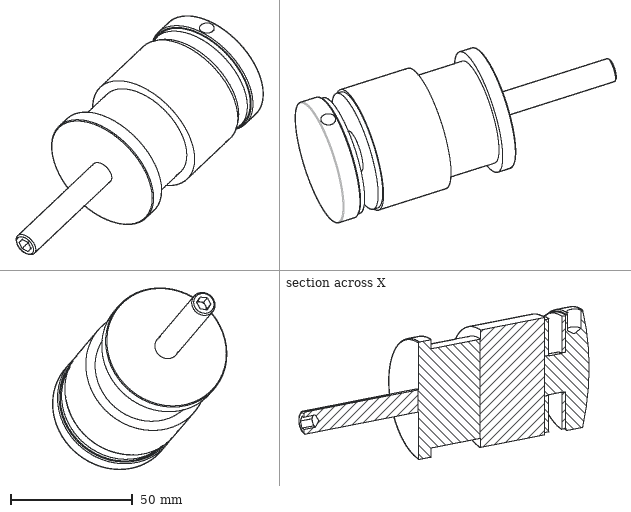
import cadquery as cq
import math


body_dia = 52.0
gasket_dia = 50.0
neck_dia = 17.3
sleeve_dia = 44.0
stud_dia = 10.0

stud_len = 53.5
flange_thick = 6.0
sleeve_len = 23.0
barrel_len = 30.0
gasket_thick = 2.0
gasket_gap = 6.0
cap_rim_len = 7.9
dome_height = 3.1

stud_chamfer = 0.7
flange_chamfer = 0.4
cap_chamfer = 0.5
cap_fillet = 0.4

hex_across_flats = 5.2
socket_depth = 5.3

rim_hole_dia = 6.0
rim_hole_depth = 8.0
rim_hole_from_rim_back = 4.0

drill_point_angle = 118.0

stud_end_y = -66.7
flange_y = stud_end_y + stud_len
sleeve_y = flange_y + flange_thick
barrel_y = sleeve_y + sleeve_len
barrel_gasket_y = barrel_y + barrel_len
gap_y = barrel_gasket_y + gasket_thick
cap_gasket_y = gap_y + gasket_gap
cap_y = cap_gasket_y + gasket_thick
rim_end_y = cap_y + cap_rim_len


def cylinder(dia, y_start, length):
    """Solid cylinder on the Y axis, running from y_start toward +Y."""
    return cq.Workplane("XZ", origin=(0, y_start, 0)).circle(dia / 2).extrude(-length)


def drill_tip(dia, base, direction):
    """Cone left by a drill at the bottom of a hole."""
    height = dia / 2 / math.tan(math.radians(drill_point_angle / 2))
    return cq.Workplane(cq.Solid.makeCone(dia / 2, 0, height, pnt=base, dir=direction))


def make_stud():
    """Set screw with a drilled hex socket in its free end."""
    stud = cylinder(stud_dia, stud_end_y, stud_len).faces("<Y").chamfer(stud_chamfer)
    hex_across_corners = hex_across_flats / math.cos(math.pi / 6)
    socket = (
        cq.Workplane("XZ", origin=(0, stud_end_y, 0))
        .polygon(6, hex_across_corners)
        .extrude(-socket_depth)
    )
    tip = drill_tip(hex_across_flats, cq.Vector(0, stud_end_y + socket_depth, 0), cq.Vector(0, 1, 0))
    return stud.cut(socket).cut(tip)


def make_base():
    """Flange and the narrower sleeve behind it, in one piece."""
    flange = cylinder(body_dia, flange_y, flange_thick).faces("<Y").chamfer(flange_chamfer)
    return flange.union(cylinder(sleeve_dia, sleeve_y, sleeve_len))


def make_barrel():
    """Plain barrel between the base and its gasket."""
    return cylinder(body_dia, barrel_y, barrel_len)


def make_gasket(y_start):
    """Flat ring around the neck of the cap."""
    bore = cylinder(neck_dia, y_start, gasket_thick)
    return cylinder(gasket_dia, y_start, gasket_thick).cut(bore)


def make_cap():
    """Domed cap with a neck reaching to the barrel and a blind hole in the top of its rim."""
    radius = body_dia / 2
    sphere_radius = (radius**2 + dome_height**2) / (2 * dome_height)
    half_chord = radius / 2
    sphere_centre_y = rim_end_y + dome_height - sphere_radius
    mid_y = sphere_centre_y + math.sqrt(sphere_radius**2 - half_chord**2)
    head = (
        cq.Workplane("XY")
        .moveTo(0, cap_y)
        .lineTo(radius - cap_chamfer, cap_y)
        .lineTo(radius, cap_y + cap_chamfer)
        .lineTo(radius, rim_end_y)
        .threePointArc((half_chord, mid_y), (0, rim_end_y + dome_height))
        .close()
        .revolve(360, (0, 0), (0, 1))
    )
    head = head.edges(cq.NearestToPointSelector((0, rim_end_y, 0))).fillet(cap_fillet)
    neck = cylinder(neck_dia, barrel_gasket_y, cap_y - barrel_gasket_y)
    hole_y = rim_end_y - rim_hole_from_rim_back
    hole_floor_z = radius - rim_hole_depth
    hole = (
        cq.Workplane("XY", origin=(0, hole_y, hole_floor_z))
        .circle(rim_hole_dia / 2)
        .extrude(rim_hole_depth)
    )
    tip = drill_tip(rim_hole_dia, cq.Vector(0, hole_y, hole_floor_z), cq.Vector(0, 0, -1))
    return head.union(neck).cut(hole).cut(tip)


stud = make_stud()
base = make_base()
barrel = make_barrel()
gaskets = [make_gasket(y) for y in (barrel_gasket_y, cap_gasket_y)]
cap = make_cap()

result = cq.Compound.makeCompound(
    [stud.val(), base.val(), barrel.val(), *[gasket.val() for gasket in gaskets], cap.val()]
)